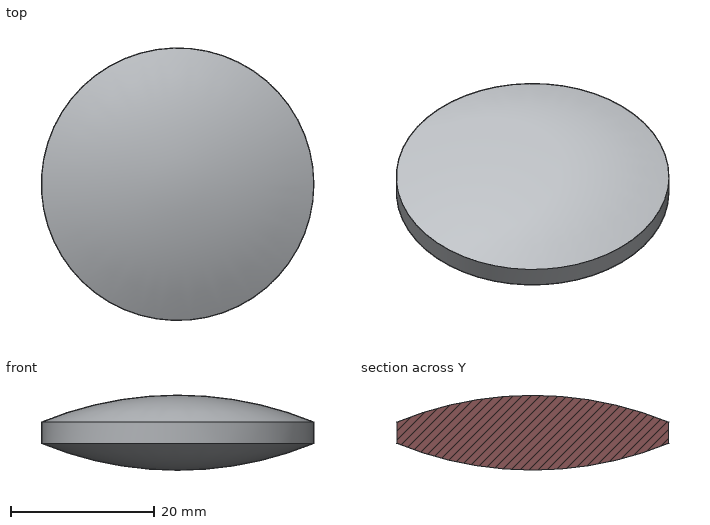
import cadquery as cq
import math

diameter = 38.1
center_thickness = 10.5
rim_thickness = 2.97

radius = diameter / 2
half_center = center_thickness / 2
half_rim = rim_thickness / 2

cap_height = half_center - half_rim
sphere_radius = (radius**2 + cap_height**2) / (2 * cap_height)
sphere_offset = half_center - sphere_radius

mid_x = radius / 2
mid_z = sphere_offset + math.sqrt(sphere_radius**2 - mid_x**2)

half_section = (
    cq.Workplane("XZ")
    .moveTo(0, -half_center)
    .threePointArc((mid_x, -mid_z), (radius, -half_rim))
    .lineTo(radius, half_rim)
    .threePointArc((mid_x, mid_z), (0, half_center))
    .close()
)
result = half_section.revolve(360, (0, 0, 0), (0, 1, 0))